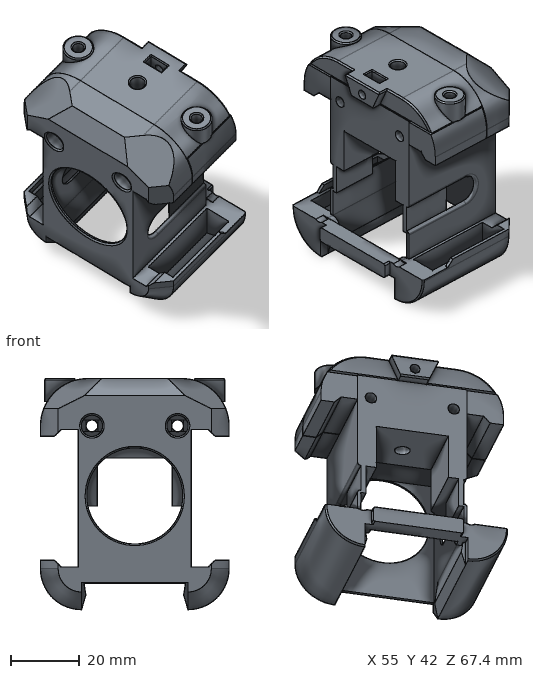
import cadquery as cq
import math

HALF_WIDTH = 27.5
HEIGHT = 67.4
WALL = 1.0
GAP = 0.3
FRONT_CHAMFER = 5.2
TOP_CHAMFER = 5.0
CORNER_Z = 58.6

COLUMN_HALF = 16.5
COLUMN_REAR = 35.0
CAVITY_HALF = COLUMN_HALF - WALL

TOP_RADIUS = 13.95
TOP_BLOCK_DEPTH = 14.0
COVER_BOTTOM = 60.7

WING_BOTTOM = 50.5
LEG_TOP = 14.5
LIP = 2.0
LIP_START = 23.45

LEG_RADIUS = 12.0
LEG_REAR = 39.9
LEG_FLOOR = 1.0
LEG_STEP_Y = 29.85
REAR_CHAMFER = 0.5
NOTCH_TOP = 7.9

BORE_DIAMETER = 28.0
BORE_Z = 33.15
BORE_CHAMFER = 0.5
PLATE_THICKNESS = WALL
ROOF_Z = 44.15
POST_HALF = 10.85
POST_FRONT = 15.2
POST_BOTTOM = 30.2

SLOT_HEIGHT = 8.35
SLOT_BOTTOM = POST_BOTTOM - SLOT_HEIGHT
SLOT_Z = SLOT_BOTTOM + SLOT_HEIGHT / 2
SLOT_CENTER_Y = 12.1
SLOT_THROUGH_END = 18.9
SLOT_ROUNDING = 0.95
LINING_HALF = 13.95
LINING_BOTTOM = 21.0

SCREW_X = 12.5
SCREW_Z = 53.6
SCREW_HEAD = 6.2
SCREW_HEAD_DEPTH = 10.1
SCREW_HOLE = 3.4
SCREW_CHAMFER = 0.5
SQUARE_SIDE = 3.45
BRIDGE_STEP = 0.3

DUCT_INNER = 17.45
DUCT_OUTER = 25.5
DUCT_FRONT = 6.2
DUCT_REAR = 34.1
RIDGE_HALF = 14.2
RIDGE_Z = 4.3
RIDGE_FRONT = 5.4

BAR_BOTTOM = 7.6
BAR_FRONT = 36.95
BAR_HALF = 15.0
TAB_HALF = 13.6
TAB_REAR = 42.0
GROOVE_DEPTH = 0.4
GUSSET_HALF = 12.55

BOSS_X = 21.8
BOSS_Y = 23.6
BOSS_DIAMETER = 9.0
BOSS_CHAMFER = 0.4
BOSS_HOLE = 3.4
BOSS_HOLE_RIM = 4.2
CENTER_HOLE = 4.5
CENTER_HOLE_CHAMFER = 0.4
COVER_TAB_HALF = 7.1
COVER_TAB_REAR = 38.1
COVER_TAB_UNDERCUT = 2.8
TAB_CHAMFER = 0.3
WINDOW_WIDTH = 6.75
WINDOW_LENGTH = 3.6
WINDOW_Y = 32.55
WINDOW_DEPTH = 4.8
WINDOW_CHAMFER = 0.35
REAR_HOLE = 2.9
REAR_HOLE_Z = 63.6

SHOULDER_X = HALF_WIDTH - TOP_RADIUS
SHOULDER_Z = HEIGHT - TOP_RADIUS
LEG_CENTER_X = HALF_WIDTH - LEG_RADIUS
WING_SHELF = WING_BOTTOM + LIP
LEG_SHELF = LEG_TOP - LIP
LIP_END = LIP_START - LIP
BIG = 134.8


def box(x_range, y_range, z_range):
    """Box between pairs of coordinates."""
    x0, x1 = x_range
    y0, y1 = y_range
    z0, z1 = z_range
    return cq.Workplane("XY").box(x1 - x0, y1 - y0, z1 - z0, centered=False).translate((x0, y0, z0))


def extrude_y(sketch, y0, y1):
    """Extrude a closed XZ outline from y0 to y1."""
    return sketch.extrude(-(y1 - y0)).translate((0, y0, 0))


def rod_y(diameter, x, z, y0, y1):
    """Cylinder along Y."""
    return extrude_y(cq.Workplane("XZ").center(x, z).circle(diameter / 2), y0, y1)


def cone_y(start_diameter, depth, x, z):
    """45 degree countersink in the front face, narrowing towards +Y."""
    start = start_diameter / 2
    cone = cq.Solid.makeCone(start, start - depth, depth, cq.Vector(x, 0, z), cq.Vector(0, 1, 0))
    return cq.Workplane(cone)


def both_sides(right):
    """The right-hand shape with its mirror image."""
    return right.union(right.mirror("YZ"))


def beyond_plane(point, normal):
    """Large block that fills the space on the normal's side of a plane."""
    plane = cq.Plane(origin=point, normal=normal)
    return cq.Workplane(plane).rect(BIG, BIG).extrude(BIG)


def rounded_top(y0, y1):
    """Full-width block with rounded shoulders, from the wing bottom to the top."""
    diagonal = TOP_RADIUS * math.sqrt(0.5)
    mid_x = SHOULDER_X + diagonal
    mid_z = SHOULDER_Z + diagonal
    outline = cq.Workplane("XZ").moveTo(-HALF_WIDTH, WING_BOTTOM).lineTo(HALF_WIDTH, WING_BOTTOM)
    outline = outline.lineTo(HALF_WIDTH, SHOULDER_Z)
    outline = outline.threePointArc((mid_x, mid_z), (SHOULDER_X, HEIGHT))
    outline = outline.lineTo(-SHOULDER_X, HEIGHT)
    outline = outline.threePointArc((-mid_x, mid_z), (-HALF_WIDTH, SHOULDER_Z))
    return extrude_y(outline.close(), y0, y1)


def wing_recess(y0, y1):
    """Space under the right upper wing, inside its lip."""
    outline = cq.Workplane("XZ").polyline([
        (COLUMN_HALF, WING_BOTTOM),
        (LIP_START, WING_BOTTOM),
        (LIP_END, WING_SHELF),
        (COLUMN_HALF, WING_SHELF),
    ]).close()
    return extrude_y(outline, y0, y1)


def top_block():
    block = rounded_top(0, TOP_BLOCK_DEPTH)
    block = block.cut(both_sides(wing_recess(0, TOP_BLOCK_DEPTH)))
    side_x = HALF_WIDTH - FRONT_CHAMFER
    block = block.cut(beyond_plane((0, 0, HEIGHT - TOP_CHAMFER), (0, -1, 1)))
    for side in (-1, 1):
        block = block.cut(beyond_plane((side * side_x, 0, 0), (side, -1, 0)))
        block = block.cut(beyond_plane((side * side_x, 0, CORNER_Z), (side, -1, 2)))
    return block


def right_leg():
    diagonal = LEG_RADIUS * math.sqrt(0.5)
    outline = cq.Workplane("XZ").moveTo(LEG_CENTER_X, 0)
    outline = outline.threePointArc(
        (LEG_CENTER_X + diagonal, LEG_RADIUS - diagonal), (HALF_WIDTH, LEG_RADIUS)
    )
    outline = outline.lineTo(HALF_WIDTH, LEG_TOP).lineTo(LEG_CENTER_X, LEG_TOP).close()
    leg = extrude_y(outline, 0, LEG_REAR)
    for face, size in (("<Y", FRONT_CHAMFER), (">Y", REAR_CHAMFER)):
        outer_edges = cq.selectors.BoxSelector(
            (LEG_CENTER_X + REAR_CHAMFER, -BIG, -BIG), (BIG, BIG, LEG_TOP - REAR_CHAMFER)
        )
        leg = leg.faces(face).edges(outer_edges).chamfer(size)

    shelf = cq.Workplane("XZ").polyline([
        (0, LEG_TOP),
        (LIP_START, LEG_TOP),
        (LIP_END, LEG_SHELF),
        (0, LEG_SHELF),
    ]).close()
    leg = leg.cut(extrude_y(shelf, 0, LEG_REAR))
    rear_step = cq.Workplane("YZ").polyline([
        (LEG_STEP_Y - LIP, LEG_TOP),
        (LEG_STEP_Y, LEG_SHELF),
        (BIG, LEG_SHELF),
        (BIG, LEG_TOP),
    ]).close().extrude(BIG)
    return leg.cut(rear_step)


def right_duct():
    """Hollow of the right leg, open at the top."""
    radius = LEG_RADIUS - WALL
    rim_x = HALF_WIDTH - WALL
    curve = cq.Workplane("XZ").center(LEG_CENTER_X, LEG_RADIUS).circle(radius)
    inside_curve = extrude_y(curve, DUCT_FRONT, DUCT_REAR)
    duct = box((DUCT_INNER, DUCT_OUTER), (DUCT_FRONT, DUCT_REAR), (LEG_FLOOR, LEG_RADIUS))
    duct = duct.intersect(inside_curve)
    duct = duct.union(box((DUCT_INNER, DUCT_OUTER), (DUCT_FRONT, DUCT_REAR), (LEG_RADIUS, LEG_TOP)))
    rim = box((DUCT_INNER, rim_x), (DUCT_FRONT, LEG_STEP_Y), (LEG_SHELF, LEG_TOP))
    return duct.union(rim)


def right_ridge():
    """Pointed ridge along the inner side of the right leg, with a slanted front end."""
    outline = cq.Workplane("XZ").polyline([
        (DUCT_INNER, LEG_SHELF),
        (CAVITY_HALF, LEG_SHELF),
        (RIDGE_HALF, RIDGE_Z),
        (LEG_CENTER_X, 0),
        (DUCT_INNER, LEG_FLOOR),
    ]).close()
    ridge = extrude_y(outline, RIDGE_FRONT, BAR_FRONT)
    return ridge.cut(beyond_plane((CAVITY_HALF, RIDGE_FRONT, 0), (-1, -1, 0)))


def rear_bar():
    bar = box((-CAVITY_HALF, CAVITY_HALF), (BAR_FRONT, LEG_REAR), (BAR_BOTTOM, LEG_SHELF))
    tab = box((-TAB_HALF, TAB_HALF), (LEG_REAR, TAB_REAR), (BAR_BOTTOM, LEG_SHELF))
    tab = tab.faces("<X or >X").edges("|Y").chamfer(REAR_CHAMFER)
    return bar.union(tab)


def right_groove():
    """Shallow groove between the rear bar and the leg."""
    half = (DUCT_INNER - BAR_HALF) / 2
    radius = (half**2 + GROOVE_DEPTH**2) / (2 * GROOVE_DEPTH)
    center_x = BAR_HALF + half
    return rod_y(2 * radius, center_x, LEG_SHELF - GROOVE_DEPTH + radius, BAR_FRONT, LEG_REAR)


def right_gusset():
    """Rounded corner piece between the leg and the rear bar."""
    radius = CAVITY_HALF - GUSSET_HALF
    gusset = rod_y(2 * radius, CAVITY_HALF, LEG_SHELF - radius, COLUMN_REAR, LEG_REAR)
    return gusset.intersect(box((0, CAVITY_HALF), (0, BIG), (BAR_BOTTOM, LEG_SHELF)))


def cavity():
    """Hollow of the column, open at the rear and below."""
    front_room = box(
        (-CAVITY_HALF, CAVITY_HALF),
        (PLATE_THICKNESS, POST_FRONT),
        (0, BORE_Z + BORE_DIAMETER / 2),
    )
    rear_room = box((-CAVITY_HALF, CAVITY_HALF), (POST_FRONT, LEG_REAR), (0, ROOF_Z))
    mouth = box((-CAVITY_HALF, CAVITY_HALF), (0, PLATE_THICKNESS), (0, NOTCH_TOP))
    return front_room.union(rear_room).union(mouth)


def right_post():
    """Post beside the rear opening and the lining below it, both with slanted fronts."""
    slant = CAVITY_HALF - POST_HALF
    post = cq.Workplane("XY").workplane(offset=POST_BOTTOM).polyline([
        (CAVITY_HALF, POST_FRONT - slant),
        (POST_HALF, POST_FRONT),
        (POST_HALF, COLUMN_REAR),
        (CAVITY_HALF, COLUMN_REAR),
    ]).close().extrude(BORE_Z + BORE_DIAMETER / 2 - POST_BOTTOM)
    lining_depth = CAVITY_HALF - LINING_HALF
    lining = cq.Workplane("XY").workplane(offset=LINING_BOTTOM).polyline([
        (CAVITY_HALF, SLOT_THROUGH_END),
        (LINING_HALF, SLOT_THROUGH_END + lining_depth),
        (LINING_HALF, COLUMN_REAR),
        (CAVITY_HALF, COLUMN_REAR),
    ]).close().extrude(POST_BOTTOM - LINING_BOTTOM)
    return post.union(lining)


def right_slot():
    """Slot through the column's right wall, round in front and open at the rear."""
    disc = cq.Workplane("YZ").workplane(offset=CAVITY_HALF).center(SLOT_CENTER_Y, SLOT_Z)
    disc = disc.circle(SLOT_HEIGHT / 2).extrude(WALL)
    run = box((CAVITY_HALF, COLUMN_HALF), (SLOT_CENTER_Y, COLUMN_REAR), (SLOT_BOTTOM, POST_BOTTOM))
    return disc.union(run)


def slotted_column():
    """Hollow column with a slot in each side, rounded along its outer edge."""
    column = box((-COLUMN_HALF, COLUMN_HALF), (0, COLUMN_REAR), (NOTCH_TOP, COVER_BOTTOM))
    column = column.cut(cavity())
    column = column.cut(both_sides(right_slot()))
    margin = 0.1
    for side in (-1, 1):
        x = side * COLUMN_HALF
        slot_edges = cq.selectors.BoxSelector(
            (x - margin, SLOT_CENTER_Y - SLOT_HEIGHT, SLOT_BOTTOM - margin),
            (x + margin, COLUMN_REAR - margin, POST_BOTTOM + margin),
        )
        column = column.edges(slot_edges).fillet(SLOT_ROUNDING)
    return column.cut(box((-BIG, BIG), (0, TOP_BLOCK_DEPTH), (WING_SHELF, COVER_BOTTOM)))


def front_bore():
    bore = rod_y(BORE_DIAMETER, 0, BORE_Z, 0, PLATE_THICKNESS)
    return bore.union(cone_y(BORE_DIAMETER + 2 * BORE_CHAMFER, BORE_CHAMFER, 0, BORE_Z))


def right_screw_hole():
    """Counterbored hole; a slot and a square lead from the counterbore to the round hole."""
    head = rod_y(SCREW_HEAD, SCREW_X, SCREW_Z, 0, SCREW_HEAD_DEPTH)
    rim = cone_y(SCREW_HEAD + 2 * SCREW_CHAMFER, SCREW_CHAMFER, SCREW_X, SCREW_Z)
    slot_end = SCREW_HEAD_DEPTH + BRIDGE_STEP
    square_end = slot_end + BRIDGE_STEP
    half = SQUARE_SIDE / 2
    z_range = (SCREW_Z - half, SCREW_Z + half)
    slot = box((0, BIG), (SCREW_HEAD_DEPTH, slot_end), z_range)
    slot = slot.intersect(rod_y(SCREW_HEAD, SCREW_X, SCREW_Z, SCREW_HEAD_DEPTH, slot_end))
    square = box((SCREW_X - half, SCREW_X + half), (slot_end, square_end), z_range)
    hole = rod_y(SCREW_HOLE, SCREW_X, SCREW_Z, square_end, COLUMN_REAR)
    return head.union(rim).union(slot).union(square).union(hole)


def center_hole():
    hole = cq.Workplane("XY").workplane(offset=ROOF_Z).center(0, BOSS_Y)
    return hole.circle(CENTER_HOLE / 2).extrude(HEIGHT - ROOF_Z)


def make_housing():
    body = top_block().union(both_sides(right_leg()))
    body = body.cut(cavity()).union(slotted_column())
    body = body.union(both_sides(right_post()))
    body = body.union(both_sides(right_ridge()))
    body = body.union(both_sides(right_gusset()))
    body = body.union(rear_bar())
    body = body.cut(both_sides(right_duct()))
    body = body.cut(both_sides(right_groove()))
    body = body.cut(front_bore())
    body = body.cut(both_sides(right_screw_hole()))
    return body.cut(center_hole())


def right_boss():
    boss = cq.Workplane("XY").workplane(offset=COVER_BOTTOM).center(BOSS_X, BOSS_Y)
    boss = boss.circle(BOSS_DIAMETER / 2).extrude(HEIGHT - COVER_BOTTOM)
    return boss.faces(">Z").chamfer(BOSS_CHAMFER)


def right_boss_hole():
    hole = cq.Workplane("XY").workplane(offset=COVER_BOTTOM).center(BOSS_X, BOSS_Y)
    hole = hole.circle(BOSS_HOLE / 2).extrude(HEIGHT - COVER_BOTTOM)
    return hole.union(top_countersink(BOSS_X, BOSS_HOLE_RIM, (BOSS_HOLE_RIM - BOSS_HOLE) / 2))


def top_countersink(x, diameter, depth):
    """45 degree countersink in the top face."""
    radius = diameter / 2
    cone = cq.Solid.makeCone(
        radius, radius - depth, depth, cq.Vector(x, BOSS_Y, HEIGHT), cq.Vector(0, 0, -1)
    )
    return cq.Workplane(cone)


def cover_window():
    """Rectangular pocket in the top, and the hole that leads from it to the rear."""
    pocket = cq.Workplane("XY").workplane(offset=HEIGHT - WINDOW_DEPTH).center(0, WINDOW_Y)
    pocket = pocket.rect(WINDOW_WIDTH - 2 * WINDOW_CHAMFER, WINDOW_LENGTH - 2 * WINDOW_CHAMFER)
    pocket = pocket.extrude(WINDOW_DEPTH)
    rim = cq.Workplane("XY").workplane(offset=HEIGHT).center(0, WINDOW_Y)
    rim = rim.rect(WINDOW_WIDTH, WINDOW_LENGTH).extrude(-WINDOW_CHAMFER, taper=45)
    hole_start = WINDOW_Y - WINDOW_LENGTH / 2 + WINDOW_CHAMFER
    hole = rod_y(REAR_HOLE, 0, REAR_HOLE_Z, hole_start, COVER_TAB_REAR)
    return pocket.union(rim).union(hole)


def cover_tab():
    """Tab at the rear, undercut at its sides."""
    foot = COVER_TAB_HALF - COVER_TAB_UNDERCUT
    top = COVER_TAB_HALF - TAB_CHAMFER
    outline = cq.Workplane("XZ").polyline([
        (-foot, COVER_BOTTOM),
        (foot, COVER_BOTTOM),
        (COVER_TAB_HALF, HEIGHT - REAR_CHAMFER),
        (top, HEIGHT),
        (-top, HEIGHT),
        (-COVER_TAB_HALF, HEIGHT - REAR_CHAMFER),
    ]).close()
    tab = extrude_y(outline, COLUMN_REAR - REAR_CHAMFER, COVER_TAB_REAR)
    return tab.faces(">Y").edges(">Z or <Z").chamfer(REAR_CHAMFER)


def make_cover():
    cover = rounded_top(TOP_BLOCK_DEPTH, COLUMN_REAR)
    cover = cover.intersect(box((-BIG, BIG), (0, BIG), (COVER_BOTTOM, HEIGHT)))
    cover = cover.faces(">Y").edges().chamfer(REAR_CHAMFER)
    cover = cover.union(cover_tab()).union(both_sides(right_boss()))
    cover = cover.cut(both_sides(right_boss_hole()))
    cover = cover.cut(center_hole())
    rim = CENTER_HOLE + 2 * CENTER_HOLE_CHAMFER
    cover = cover.cut(top_countersink(0, rim, CENTER_HOLE_CHAMFER))
    return cover.cut(cover_window())


def make_side_panel():
    """Right side panel, below the cover and behind the top block."""
    front = TOP_BLOCK_DEPTH + GAP
    panel = rounded_top(front, COLUMN_REAR)
    panel = panel.intersect(
        box((COLUMN_HALF, BIG), (front, COLUMN_REAR), (WING_BOTTOM, COVER_BOTTOM - GAP))
    )
    return panel.cut(wing_recess(front, COLUMN_REAR))


housing = make_housing()
cover = make_cover()
right_panel = make_side_panel()
left_panel = right_panel.mirror("YZ")
side_panels = [right_panel, left_panel]

result = cq.Compound.makeCompound(
    [housing.val(), cover.val(), *[panel.val() for panel in side_panels]]
)